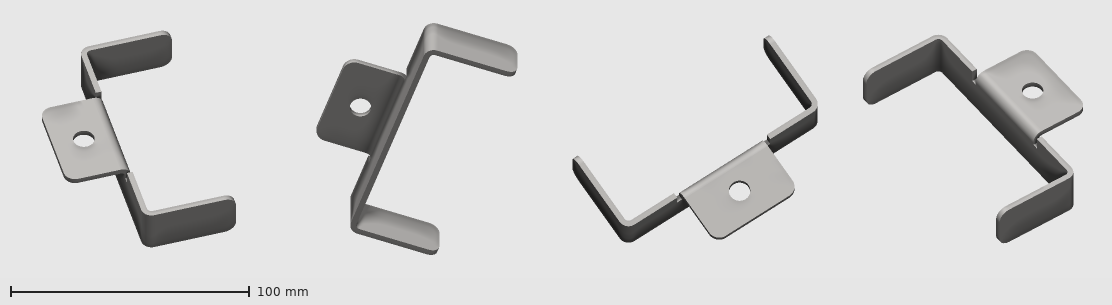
import cadquery as cq

width = 99.0
height = 20.0
thickness = 2.5
inner_bend = 2.0
outer_bend = inner_bend + thickness
arm_length = 40.1
tab_reach = 25.4
corner_radius = 4.95

tab_width = 42.0
notch_width = 2.5
notch_depth = 5.8
hole_diameter = 9.0
hole_to_tab_end = 13.5



def make_channel():
    """U-shaped strip: web with an arm bent back at each end."""
    outer = (
        cq.Workplane("XY")
        .rect(width, 2 * arm_length)
        .extrude(height)
        .translate((0, arm_length, 0))
        .edges("|Z and <Y")
        .fillet(outer_bend)
    )
    inner = (
        cq.Workplane("XY")
        .rect(width - 2 * thickness, 2 * arm_length)
        .extrude(height)
        .translate((0, arm_length + thickness, 0))
        .edges("|Z and <Y")
        .fillet(inner_bend)
    )
    beyond_arms = (
        cq.Workplane("XY")
        .rect(width, 2 * arm_length)
        .extrude(height)
        .translate((0, 2 * arm_length, 0))
    )
    channel = outer.cut(inner).cut(beyond_arms)
    return channel.edges("|X and >Y").fillet(corner_radius)


def make_tab():
    """Mounting tab bent forward from the upper edge of the web."""
    bend_bottom = height - outer_bend
    bend_front = -inner_bend
    tab = (
        cq.Workplane("YZ")
        .moveTo(thickness, bend_bottom)
        .radiusArc((bend_front, height), -outer_bend)
        .lineTo(-tab_reach, height)
        .lineTo(-tab_reach, height - thickness)
        .lineTo(bend_front, height - thickness)
        .radiusArc((0, bend_bottom), inner_bend)
        .close()
        .extrude(tab_width / 2, both=True)
    )
    tab = tab.edges("|Z and <Y").fillet(corner_radius)
    hole = (
        cq.Workplane("XY")
        .center(0, hole_to_tab_end - tab_reach)
        .circle(hole_diameter / 2)
        .extrude(height)
    )
    return tab.cut(hole)


def web_cutout(center_x, cut_width, depth):
    """Block that removes the upper edge of the web down to a depth."""
    return (
        cq.Workplane("XY", origin=(center_x, thickness / 2, height - depth))
        .rect(cut_width, thickness)
        .extrude(depth)
    )


channel = make_channel().cut(web_cutout(0, tab_width, outer_bend))
for side in (-1, 1):
    notch_x = side * (tab_width + notch_width) / 2
    channel = channel.cut(web_cutout(notch_x, notch_width, notch_depth))

result = channel.union(make_tab())